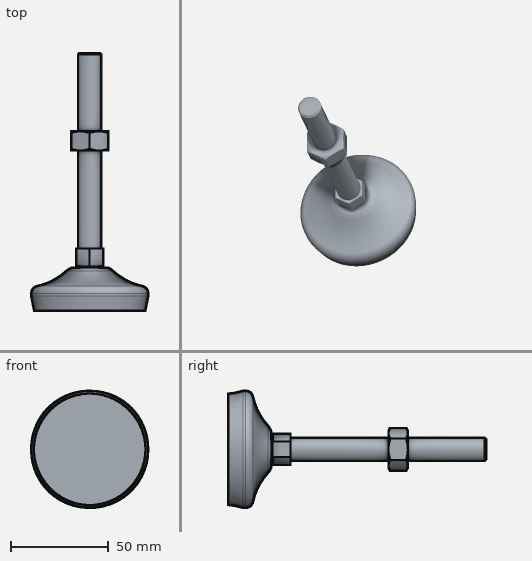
import cadquery as cq
import math

total_length = 132.0

foot_radius = 60.0 / 2
sole_radius = 28.5
flare_height = 7.7
band_height = 8.8
shoulder_fillet = 4.0
shoulder_turn = 78.0
crown_radius = 11.9
crown_height = 20.5
foot_top_radius = 9.2
foot_height = 22.0

stud_diameter = 12.0
stud_tip_diameter = 10.0
neck_diameter = 10.0
wrench_hex_width = 14.0
wrench_hex_start = 22.7
wrench_hex_length = 9.2

nut_width = 19.0
nut_start = 82.0
nut_thickness = 9.9
nut_chamfer_angle = 30.0


def revolve_about_y(profile):
    return profile.close().revolve(360, (0, 0, 0), (0, 1, 0))


def cylinder(diameter, start, end):
    return revolve_about_y(
        cq.Workplane("XY")
        .moveTo(0, start)
        .lineTo(diameter / 2, start)
        .lineTo(diameter / 2, end)
        .lineTo(0, end)
    )


def hexagon(width, start, length):
    """Hexagonal prism along +Y with flats facing +X and -X."""
    corner_diameter = width / math.cos(math.radians(30))
    return (
        cq.Workplane("XZ", origin=(0, start, 0))
        .transformed(rotate=(0, 0, 90))
        .polygon(6, corner_diameter)
        .extrude(-length)
    )


def make_foot():
    """Foot with a rounded shoulder, concave sweep and crown that are tangent to one another."""
    turn = math.radians(shoulder_turn)
    shoulder_end = (
        foot_radius - shoulder_fillet * (1 - math.cos(turn)),
        band_height + shoulder_fillet * math.sin(turn),
    )
    return revolve_about_y(
        cq.Workplane("XY")
        .lineTo(sole_radius, 0)
        .lineTo(foot_radius, flare_height)
        .lineTo(foot_radius, band_height)
        .tangentArcPoint(shoulder_end, relative=False)
        .tangentArcPoint((crown_radius, crown_height), relative=False)
        .tangentArcPoint((foot_top_radius, foot_height), relative=False)
        .lineTo(0, foot_height)
    )


def make_stud():
    neck = cylinder(neck_diameter, foot_height, wrench_hex_start)
    wrench_hex = hexagon(wrench_hex_width, wrench_hex_start, wrench_hex_length)
    tip_chamfer = (stud_diameter - stud_tip_diameter) / 2
    rod_start = wrench_hex_start + wrench_hex_length
    rod = cylinder(stud_diameter, rod_start, total_length).faces(">Y").chamfer(tip_chamfer)
    return neck.union(wrench_hex).union(rod)


def make_nut():
    """Hexagonal nut whose corners are trimmed by a cone at each end."""
    flat_radius = nut_width / 2
    corner_radius = flat_radius / math.cos(math.radians(30))
    chamfer_drop = (corner_radius - flat_radius) * math.tan(math.radians(nut_chamfer_angle))
    nut_end = nut_start + nut_thickness
    envelope = revolve_about_y(
        cq.Workplane("XY")
        .moveTo(0, nut_start)
        .lineTo(flat_radius, nut_start)
        .lineTo(corner_radius, nut_start + chamfer_drop)
        .lineTo(corner_radius, nut_end - chamfer_drop)
        .lineTo(flat_radius, nut_end)
        .lineTo(0, nut_end)
    )
    return hexagon(nut_width, nut_start, nut_thickness).intersect(envelope)


result = make_foot().union(make_stud()).union(make_nut())